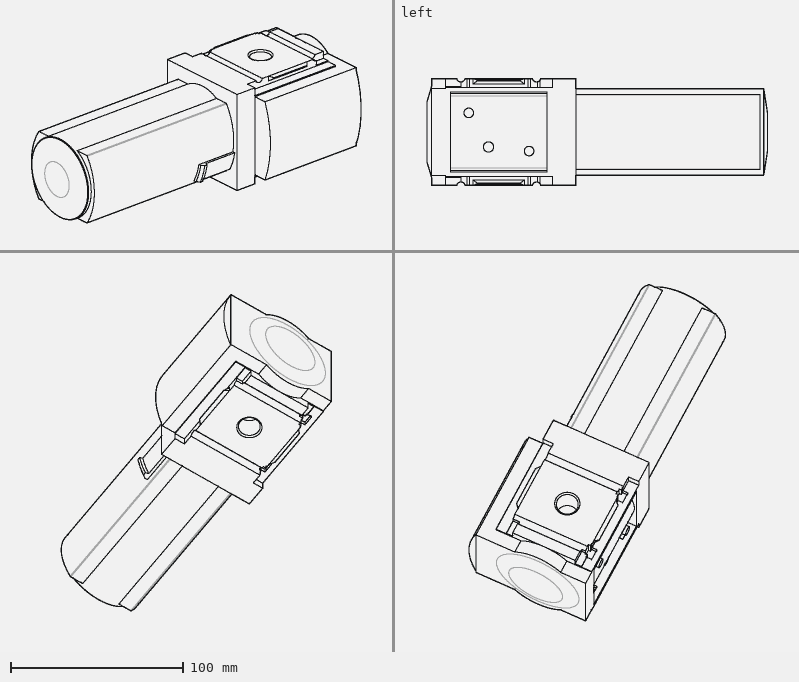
import cadquery as cq
import math


head_width = 62.0
half_width = head_width / 2
head_length = 83.8
flange_length = 13.7
back_plate_start = 75.6
plate_height = 50.5
plate_half_height = plate_height / 2
port_y = 44.7

ledge_height = 26.0
port_block_half_width = 24.4
corner_shelf_height = 26.5
corner_shelf_x = 20.2
groove_offset = 22.0
groove_half_width = 2.4
groove_depth = 1.88
shelf_y = port_y + groove_offset

crest_half_width = 14.8

port_diameter = 12.7
port_depth = 15.8
port_chamfer = 1.0

pad_reach = 2.4
pad_length = 29.7
pad_lip_top = 30.0
pad_lip_bottom = 29.7
pad_root = 28.0

slot_offset = 20.4
slot_outer_x = -27.5
slot_step_x = -24.0
slot_inner_x = -22.5
slot_wide = 7.0
slot_narrow = 4.2

window_start = 16.8
window_end = 72.9
window_half_height = 23.2
window_floor_x = -20.4
inner_body_radius = 29.7
inner_body_half_height = 21.0
inner_body_foot = 22.4

pins = [
    (62.2, 11.0, 5.5, -30.3),
    (27.1, -11.0, 5.5, -30.3),
    (50.7, -8.7, 6.0, -28.3),
]

cover_edge_x = 40.0
overall_width = 75.8
cover_bulge_x = overall_width - half_width
cover_bulge_end = 83.4

knob_height = 2.8
knob_base_radius = 26.7
knob_top_radius = 17.5

total_length = 198.0
cap_tip_y = head_length + knob_height - total_length
sleeve_diameter = 50.5
sleeve_radius = sleeve_diameter / 2
cap_rim_y = -108.9
cap_rim_chamfer = 0.4
cap_face_radius = 10.9
wing_end_y = -107.0
wing_width = 56.0
wing_half_width = wing_width / 2
wing_half_height = 21.8
wing_radius = 39.6
wing_edge_fillet = 0.5

latch_top_z = -7.3
latch_bottom_z = -19.5
leaf_thickness = 1.5
hook_height = 3.4
hook_start_y = -22.2
hook_flat_start_y = -22.8
hook_flat_end_y = -24.5
latch_end_y = -26.1


def box(x_range, y_range, z_range):
    """Box between two limits on each axis."""
    sizes = [high - low for low, high in (x_range, y_range, z_range)]
    corner = (x_range[0], y_range[0], z_range[0])
    return cq.Workplane("XY").box(*sizes, centered=False).translate(corner)


def xz_plane(y):
    """Sketch plane at the given Y; a positive extrusion runs towards +Y, with sketch x mirrored."""
    return cq.Workplane(cq.Plane(origin=(0, y, 0), xDir=(-1, 0, 0), normal=(0, 1, 0)))


def rod_along_x(y, z, diameter, x_start, x_end):
    """Rod parallel to X between two X limits; either limit may be the larger one."""
    return cq.Workplane("YZ", origin=(x_start, y, z)).circle(diameter / 2).extrude(x_end - x_start)


def mirror_z(shape):
    """Shape together with its copy across Z = 0."""
    return shape.union(shape.mirror("XY"))


def mirror_x(shape):
    """Shape together with its copy across X = 0."""
    return shape.union(shape.mirror("YZ"))


def make_head():
    """Front flange, ledge-height core, port block and back plate with the cover's flat part."""
    full = (-half_width, half_width)
    head = box(full, (0, flange_length), full)
    head = head.union(box(full, (0, back_plate_start), (-ledge_height, ledge_height)))
    port_block_x = (-port_block_half_width, port_block_half_width)
    head = head.union(box(port_block_x, (0, back_plate_start), full))
    plate_z = (-plate_half_height, plate_half_height)
    head = head.union(box((-half_width, cover_edge_x), (flange_length, head_length), plate_z))
    bulge = (
        xz_plane(flange_length)
        .moveTo(-cover_edge_x, -plate_half_height)
        .threePointArc((-cover_bulge_x, 0), (-cover_edge_x, plate_half_height))
        .close()
        .extrude(cover_bulge_end - flange_length)
    )
    return head.union(bulge)


def make_crests():
    """Rounded crests that carry the top and bottom of the port block over the back plate."""
    crest = (
        xz_plane(back_plate_start)
        .moveTo(-crest_half_width, plate_half_height)
        .threePointArc((0, half_width), (crest_half_width, plate_half_height))
        .lineTo(crest_half_width, 0)
        .lineTo(-crest_half_width, 0)
        .close()
        .extrude(head_length - back_plate_start)
    )
    return mirror_z(crest)


def make_corner_cuts():
    """Low shelves at the back corners of the port block."""
    cut = box(
        (corner_shelf_x, port_block_half_width),
        (shelf_y, back_plate_start),
        (corner_shelf_height, half_width),
    )
    return mirror_x(mirror_z(cut))


def make_grooves():
    """Round-bottomed grooves across the port block, in front of and behind the port."""
    groove_length = 2 * port_block_half_width
    grooves = cq.Workplane("XY")
    for y in (port_y - groove_offset, port_y + groove_offset):
        groove = (
            cq.Workplane("YZ", origin=(-port_block_half_width, 0, 0))
            .moveTo(y - groove_half_width, half_width)
            .threePointArc((y, half_width - groove_depth), (y + groove_half_width, half_width))
            .close()
            .extrude(groove_length)
        )
        grooves = grooves.add(mirror_z(groove))
    return grooves.combine()


def make_ports():
    """Blind, chamfered port holes in the top and bottom faces."""
    radius = port_diameter / 2
    hole = (
        cq.Workplane("XZ", origin=(0, port_y, 0))
        .moveTo(0, half_width)
        .lineTo(radius + port_chamfer, half_width)
        .lineTo(radius, half_width - port_chamfer)
        .lineTo(radius, half_width - port_depth)
        .lineTo(0, half_width - port_depth)
        .close()
        .revolve(360, (0, 0, 0), (0, 1, 0))
    )
    return mirror_z(hole)


def make_pads():
    """Undercut wedge pads with 45 degree ends on both flanks of the port block."""
    root_x = port_block_half_width
    tip_x = root_x + pad_reach
    half_root = pad_length / 2
    half_tip = half_root - pad_reach
    profile = (
        xz_plane(port_y - half_root)
        .moveTo(-root_x, half_width)
        .lineTo(-tip_x, pad_lip_top)
        .lineTo(-tip_x, pad_lip_bottom)
        .lineTo(-root_x, pad_root)
        .close()
        .extrude(pad_length)
    )
    plan = (
        cq.Workplane("XY")
        .moveTo(root_x, port_y - half_root)
        .lineTo(tip_x, port_y - half_tip)
        .lineTo(tip_x, port_y + half_tip)
        .lineTo(root_x, port_y + half_root)
        .close()
        .extrude(half_width)
    )
    return mirror_x(mirror_z(profile.intersect(plan)))


def make_slots():
    """T-shaped slots that open the window walls and notch the flank of the port block."""
    slot_z = (window_half_height, half_width)
    slots = cq.Workplane("XY")
    for y in (port_y - slot_offset, port_y + slot_offset):
        wide = box((slot_outer_x, slot_step_x), (y - slot_wide / 2, y + slot_wide / 2), slot_z)
        narrow = box((slot_outer_x, slot_inner_x), (y - slot_narrow / 2, y + slot_narrow / 2), slot_z)
        slots = slots.add(mirror_z(wide.union(narrow)))
    return slots.combine()


def make_window_cut():
    """Window space around the round inner body, open to -X."""
    cut_length = window_end - window_start
    window = box(
        (-half_width, window_floor_x),
        (window_start, window_end),
        (-window_half_height, window_half_height),
    )
    arc_end_x = math.sqrt(inner_body_radius**2 - inner_body_half_height**2)
    inner_body = (
        xz_plane(window_start)
        .moveTo(-window_floor_x, -inner_body_foot)
        .lineTo(arc_end_x, -inner_body_half_height)
        .threePointArc((inner_body_radius, 0), (arc_end_x, inner_body_half_height))
        .lineTo(-window_floor_x, inner_body_foot)
        .close()
        .extrude(cut_length)
    )
    return window.cut(inner_body)


def add_pins(body):
    """Round pins along X; the surface of the inner body is cleared in front of each end face."""
    for y, z, diameter, end_x in pins:
        clearance = rod_along_x(y, z, diameter, -half_width, end_x)
        pin = rod_along_x(y, z, diameter, end_x, window_floor_x)
        body = body.cut(clearance).union(pin)
    return body


def make_knob_and_sleeve_core():
    """Turned parts on the centre line: back knob, round sleeve and conical end cap."""
    knob_top_y = head_length + knob_height
    chamfer_radius = sleeve_radius - cap_rim_chamfer
    sleeve = (
        cq.Workplane("XY")
        .moveTo(0, cap_tip_y)
        .lineTo(cap_face_radius, cap_tip_y)
        .lineTo(chamfer_radius, cap_rim_y - cap_rim_chamfer)
        .lineTo(sleeve_radius, cap_rim_y)
        .lineTo(sleeve_radius, 0)
        .lineTo(0, 0)
        .close()
        .revolve(360, (0, 0, 0), (0, 1, 0))
    )
    knob = (
        cq.Workplane("XY")
        .moveTo(0, head_length)
        .lineTo(knob_base_radius, head_length)
        .lineTo(knob_top_radius, knob_top_y)
        .lineTo(0, knob_top_y)
        .close()
        .revolve(360, (0, 0, 0), (0, 1, 0))
    )
    return sleeve.union(knob)


def make_wings():
    """Flat-topped side wings with arched outer faces along the sleeve."""
    sagitta = wing_radius - math.sqrt(wing_radius**2 - wing_half_height**2)
    edge_x = wing_half_width - sagitta
    return (
        xz_plane(wing_end_y)
        .moveTo(-edge_x, -wing_half_height)
        .threePointArc((-wing_half_width, 0), (-edge_x, wing_half_height))
        .lineTo(edge_x, wing_half_height)
        .threePointArc((wing_half_width, 0), (edge_x, -wing_half_height))
        .close()
        .extrude(-wing_end_y)
        .edges("|Y")
        .fillet(wing_edge_fillet)
    )


def make_latch():
    """Leaf that follows the +X wing, with a tapered hook at its front end."""
    axis_x = wing_half_width - wing_radius
    root_x = wing_half_width - leaf_thickness
    leaf_x = wing_half_width + leaf_thickness
    hook_x = wing_half_width + hook_height
    ring = (
        cq.Workplane("XY")
        .moveTo(root_x, 0)
        .lineTo(leaf_x, 0)
        .lineTo(leaf_x, hook_start_y)
        .lineTo(hook_x, hook_flat_start_y)
        .lineTo(hook_x, hook_flat_end_y)
        .lineTo(leaf_x, latch_end_y)
        .lineTo(root_x, latch_end_y)
        .close()
        .revolve(360, (axis_x, 0, 0), (axis_x, 1, 0))
    )
    return ring.intersect(box((0, hook_x), (latch_end_y, 0), (latch_bottom_z, latch_top_z)))


head = make_head().cut(make_corner_cuts()).union(make_crests()).union(make_pads())
for cutter in (make_grooves(), make_ports(), make_slots(), make_window_cut()):
    head = head.cut(cutter)
head = add_pins(head)

result = head.union(make_knob_and_sleeve_core()).union(make_wings()).union(make_latch())